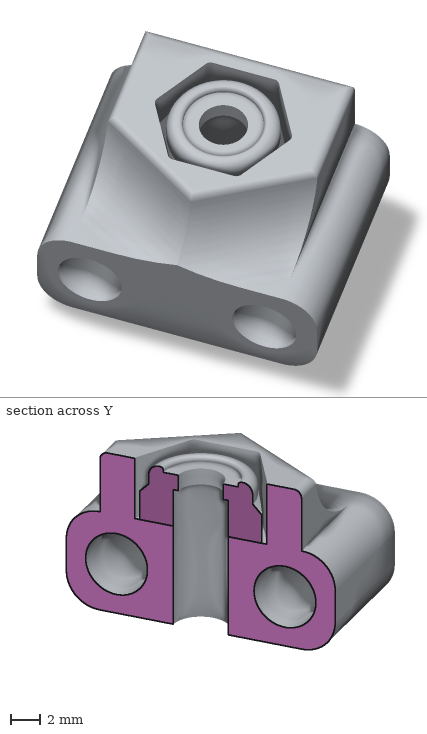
import cadquery as cq
import math

base_width = 20.27
base_height = 7.55
depth = 15.77
base_corner_radius = 2.53
bore_diameter = 4.62
bore_spacing = 12.67

total_height = 12.15
raised_width = base_width - 2 * base_corner_radius
top_edge_radius = 0.6

scoop_radius = 5.0
scoop_angle = 31.8
scoop_side_y = 1.89
scoop_length = 4 * base_width

nut_y = 10.03
pocket_across_flats = 8.7
pocket_corner_radius = 0.49
pocket_floor_z = base_height
nut_across_flats = 8.0
nut_hex_height = 2.84
nut_chamfer_angle = 45.0
nut_height = 4.35
collar_diameter = 7.86
collar_round = 0.81
collar_opening = 5.6
collar_lip_round = 0.3
collar_recess_depth = 0.4
insert_diameter = 3.39
insert_thickness = 1.22
screw_diameter = 4.14


def hexagon(across_flats, bottom_z, height):
    """Hexagonal prism on the nut axis with two corners along X."""
    across_corners = across_flats / math.cos(math.radians(30))
    return (
        cq.Workplane("XY", origin=(0, nut_y, bottom_z))
        .polygon(6, across_corners)
        .extrude(height)
    )


def cylinder(diameter, bottom_z, height):
    """Upright cylinder on the nut axis."""
    return cq.Workplane("XY", origin=(0, nut_y, bottom_z)).circle(diameter / 2).extrude(height)


def make_scoop(side):
    """Cutter for one side (-1 or +1): a horizontal cylinder and the open space in front of it."""
    angle = math.radians(scoop_angle)
    along = cq.Vector(side * math.cos(angle), math.sin(angle), 0)
    forward = cq.Vector(side * math.sin(angle), -math.cos(angle), 0)
    axis_point = cq.Vector(side * raised_width / 2, scoop_side_y, base_height + scoop_radius)
    start = axis_point - along * (scoop_length / 2)
    section = cq.Plane(origin=start.toTuple(), xDir=forward.toTuple(), normal=along.toTuple())
    round_cut = cq.Workplane(section).circle(scoop_radius).extrude(scoop_length)
    front_cut = (
        cq.Workplane(section)
        .center(depth / 2, 0)
        .rect(depth, 2 * scoop_radius)
        .extrude(scoop_length)
    )
    half = cq.Workplane("XY").box(base_width, 4 * depth, 4 * total_height)
    return round_cut.union(front_cut).intersect(half.translate((side * base_width / 2, 0, 0)))


def make_raised_block():
    """Block between the rounded shoulders, scooped in front and rounded along its top edges."""
    block = cq.Workplane("XY").box(raised_width, depth, total_height, centered=(True, False, False))
    for side in (-1, 1):
        block = block.cut(make_scoop(side))
    return block.faces(">Z").edges().fillet(top_edge_radius)


def make_housing():
    base = (
        cq.Workplane("XY")
        .box(base_width, depth, base_height, centered=(True, False, False))
        .edges("|Y")
        .fillet(base_corner_radius)
    )
    bores = (
        cq.Workplane("XZ", origin=(0, 0, base_height / 2))
        .pushPoints([(-bore_spacing / 2, 0), (bore_spacing / 2, 0)])
        .circle(bore_diameter / 2)
        .extrude(-depth)
    )
    pocket = hexagon(pocket_across_flats, pocket_floor_z, total_height - pocket_floor_z)
    pocket = pocket.edges("|Z").fillet(pocket_corner_radius)
    screw_hole = cylinder(screw_diameter, 0, total_height)
    return base.union(make_raised_block()).cut(bores).cut(pocket).cut(screw_hole)


def make_nut_hexagon():
    """Hexagon whose upper corners are cut off by a cone that starts at the collar."""
    collar_radius = collar_diameter / 2
    corner_radius = nut_across_flats / math.sqrt(3)
    drop = (corner_radius - collar_radius) * math.tan(math.radians(nut_chamfer_angle))
    envelope = (
        cq.Workplane("XZ", origin=(0, nut_y, pocket_floor_z))
        .polyline([
            (0, 0),
            (corner_radius, 0),
            (corner_radius, nut_hex_height - drop),
            (collar_radius, nut_hex_height),
            (0, nut_hex_height),
        ])
        .close()
        .revolve(360, (0, 0, 0), (0, 1, 0))
    )
    return hexagon(nut_across_flats, pocket_floor_z, nut_hex_height).intersect(envelope)


def make_nut():
    """Lock nut: hexagon with a rounded collar, recessed inside its lip."""
    top_z = pocket_floor_z + nut_height
    collar = cylinder(collar_diameter, pocket_floor_z, nut_height).faces(">Z").edges().fillet(collar_round)
    recess = cylinder(collar_opening, top_z - collar_recess_depth, collar_recess_depth)
    body = make_nut_hexagon().union(collar).cut(recess)
    lip = cq.selectors.RadiusNthSelector(0)
    body = body.faces(">Z").edges(lip).fillet(collar_lip_round)
    thread_height = nut_height - collar_recess_depth - insert_thickness
    body = body.cut(cylinder(insert_diameter, pocket_floor_z, nut_height))
    return body.cut(cylinder(screw_diameter, pocket_floor_z, thread_height))


housing = make_housing()
nut = make_nut()

result = cq.Compound.makeCompound([housing.val(), nut.val()])